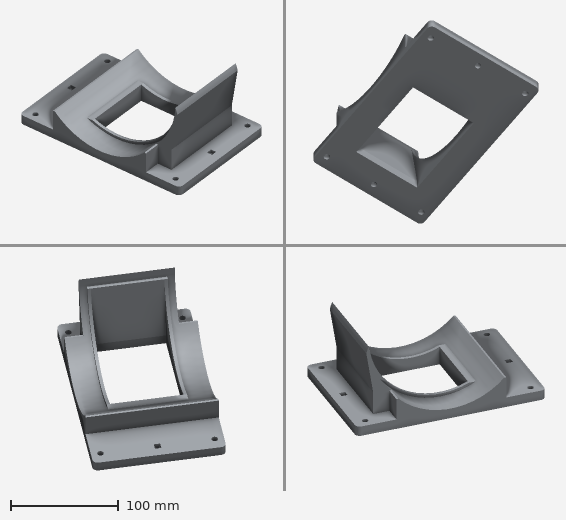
import cadquery as cq
import math

plate_length = 190.0
plate_width = 126.0
plate_thickness = 10.0
plate_corner_radius = 5.0

cradle_radius = 75.8
block_top = 31.8
block_land = 1.9
block_land_drop = 0.25
cradle_axis_z = plate_thickness + cradle_radius

wall_width = 90.6
wall_back_x = 71.3
wall_kink_z = 33.0
wall_tip_z = 83.0
wall_shoulder_x = 78.2
wall_shoulder_z = 76.0
tip_bulge = 0.2

rim_height = 3.0
rim_width = 76.0
rim_low_z = 18.5
rim_high_z = 73.5

window_width = 69.5
window_back_x = 62.6

hole_diameter = 6.0
hole_x = 83.0
hole_y = 54.0
square_recess_side = 6.0
square_recess_depth = 4.0


def half_chord(radius, z):
    """Half width at height z of a circle centred on the cradle axis."""
    return math.sqrt(radius**2 - (cradle_axis_z - z) ** 2)


def extrude_profile(profile, width):
    """Extrude a closed XZ profile symmetrically about the XZ plane."""
    return profile.close().extrude(width / 2, both=True)


def cradle_point(radius, angle):
    """Point at an angle from straight down, measured toward +X."""
    return (radius * math.sin(angle), cradle_axis_z - radius * math.cos(angle))


def make_plate():
    return (
        cq.Workplane("XY")
        .box(plate_length, plate_width, plate_thickness, centered=(True, True, False))
        .edges("|Z")
        .fillet(plate_corner_radius)
    )


def make_saddle():
    chord = half_chord(cradle_radius, block_top)
    side = chord + block_land
    profile = (
        cq.Workplane("XZ")
        .moveTo(-side, 0)
        .lineTo(-side, block_top - block_land_drop)
        .lineTo(-chord, block_top)
        .threePointArc((0, plate_thickness), (chord, block_top))
        .lineTo(side, block_top - block_land_drop)
        .lineTo(side, 0)
    )
    return extrude_profile(profile, plate_width)


def make_wall():
    tip_x = half_chord(cradle_radius, wall_tip_z)
    tip_angle = math.atan2(tip_x, cradle_axis_z - wall_tip_z)
    edge_mid = (
        (tip_x + wall_shoulder_x) / 2 + tip_bulge,
        (wall_tip_z + wall_shoulder_z) / 2 + tip_bulge,
    )
    profile = (
        cq.Workplane("XZ")
        .moveTo(0, 0)
        .lineTo(0, plate_thickness)
        .threePointArc(cradle_point(cradle_radius, tip_angle / 2), (tip_x, wall_tip_z))
        .threePointArc(edge_mid, (wall_shoulder_x, wall_shoulder_z))
        .lineTo(wall_back_x, wall_kink_z)
        .lineTo(wall_back_x, 0)
    )
    return extrude_profile(profile, wall_width)


def make_rim():
    inner_radius = cradle_radius - rim_height
    low_angle = -math.acos((cradle_axis_z - rim_low_z) / inner_radius)
    high_angle = math.acos((cradle_axis_z - rim_high_z) / inner_radius)
    profile = (
        cq.Workplane("XZ")
        .moveTo(-half_chord(cradle_radius, rim_low_z), rim_low_z)
        .lineTo(-half_chord(inner_radius, rim_low_z), rim_low_z)
        .threePointArc(
            cradle_point(inner_radius, (low_angle + high_angle) / 2),
            (half_chord(inner_radius, rim_high_z), rim_high_z),
        )
        .lineTo(half_chord(cradle_radius, rim_high_z), rim_high_z)
        .threePointArc((0, plate_thickness), (-half_chord(cradle_radius, rim_low_z), rim_low_z))
    )
    return extrude_profile(profile, rim_width)


def make_window():
    inner_radius = cradle_radius - rim_height
    front_x = -half_chord(inner_radius, rim_low_z)
    profile = (
        cq.Workplane("XZ")
        .moveTo(front_x, 0)
        .lineTo(window_back_x, 0)
        .lineTo(window_back_x, plate_thickness)
        .lineTo(half_chord(inner_radius, rim_high_z), rim_high_z)
        .lineTo(front_x, rim_high_z)
    )
    return extrude_profile(profile, window_width)


def make_holes():
    centers = [(x, y) for x in (-hole_x, hole_x) for y in (-hole_y, 0, hole_y)]
    return cq.Workplane("XY").pushPoints(centers).circle(hole_diameter / 2).extrude(plate_thickness)


def make_square_recesses():
    return (
        cq.Workplane("XY", origin=(0, 0, plate_thickness))
        .pushPoints([(-hole_x, 0), (hole_x, 0)])
        .rect(square_recess_side, square_recess_side)
        .extrude(-square_recess_depth)
    )


body = make_plate().union(make_saddle()).union(make_wall()).union(make_rim())
result = body.cut(make_window()).cut(make_holes()).cut(make_square_recesses())